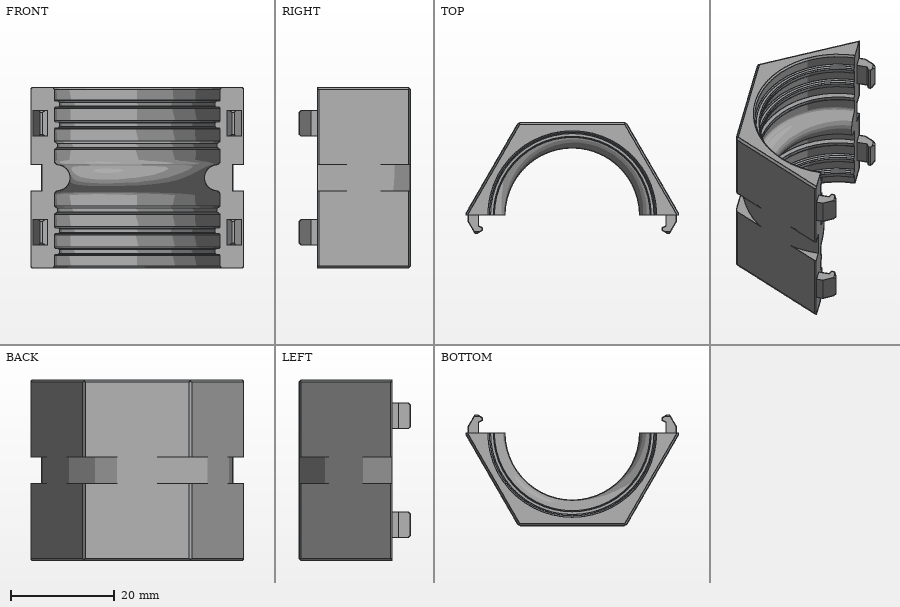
import cadquery as cq
import math

width = 41.15
height = 35.0
sides = 6
apothem = 18.0
end_chamfer = 0.4

bore_radius = 16.05
mouth_chamfer_radial = 0.3
mouth_chamfer_axial = 0.4

bead_inner_radius = 13.0
bead_radius = 2.5
bead_blend = 0.85

rib_pitch = 4.0
low_rib_z = 6.25
rib_base_half = 0.82
rib_flank_half = 0.58
rib_tip_half = 0.35
low_rib_depth = 0.58
tall_rib_depth = 1.0
tall_rib_count = 2

groove_width = 5.05
groove_radius = 18.5
groove_edge_chamfer = 0.35

hook_height = 5.0
hook_z = 10.55
hook_outer_x = 20.15
hook_shank_x = 18.1
hook_barb_x = 17.37
hook_tip_outer_x = 18.8
hook_tip_inner_x = 18.35
hook_length = 3.5
hook_shank_length = 1.25
barb_root_y = -2.05
barb_top_y = -2.43
barb_bottom_y = -2.9
hook_tip_chamfer = 0.35

half_height = height / 2
half_side_angle = math.pi / sides

upper_half = cq.Workplane("XY").box(2 * width, width, height, centered=(True, False, True))


def make_groove():
    """Ring that cuts the hexagon corners down to a cylinder at mid height."""
    groove = cq.Workplane("XY", origin=(0, 0, -groove_width / 2))
    groove = groove.circle(width).circle(groove_radius).extrude(groove_width)
    return groove.rotate((0, 0, 0), (0, 0, 1), 90)


def on_groove_wall(edge):
    """True for an edge lying on the cylindrical wall of the groove."""
    center = edge.Center()
    return math.isclose(math.hypot(center.x, center.y), groove_radius, abs_tol=0.005)


def make_body():
    """Hexagonal bar with bevelled ends, trimmed corners and the corner groove, cut in half."""
    corner_radius = apothem / math.cos(half_side_angle)
    base = cq.Workplane("XY", origin=(0, 0, -half_height))
    bar = base.polygon(sides, 2 * corner_radius).extrude(height).faces("|Z").chamfer(end_chamfer)
    trim = base.polygon(sides, width / math.cos(half_side_angle)).extrude(height)
    trim = trim.rotate((0, 0, 0), (0, 0, 1), math.degrees(half_side_angle))
    bar = bar.intersect(trim).cut(make_groove())
    bar = bar.edges("|Z").filter(on_groove_wall).chamfer(groove_edge_chamfer)
    return bar.intersect(upper_half)


def ring(profile):
    """Turn a closed (radius, z) profile around the Z axis."""
    return profile.close().revolve(360, (0, 0, 0), (0, 1, 0))


def make_bore():
    """Plain bore, widened by a chamfer at each mouth."""
    mouth_radius = bore_radius + mouth_chamfer_radial
    wall_end = half_height - mouth_chamfer_axial
    return ring(cq.Workplane("XZ").polyline([
        (0, -half_height), (mouth_radius, -half_height), (bore_radius, -wall_end),
        (bore_radius, wall_end), (mouth_radius, half_height), (0, half_height)]))


def make_bead():
    """Round bead blended into the bore wall by a tangent fillet on each side."""
    bead_center = bead_inner_radius + bead_radius
    blend_center = bore_radius - bead_blend
    reach = bead_radius + bead_blend
    blend_z = math.sqrt(reach ** 2 - (bead_center - blend_center) ** 2)
    joint_radius = bead_center + (blend_center - bead_center) * bead_radius / reach
    joint_z = blend_z * bead_radius / reach
    joint_angle = math.atan2(joint_z - blend_z, joint_radius - blend_center)
    mid_radius = blend_center + bead_blend * math.cos(joint_angle / 2)
    mid_z = blend_z + bead_blend * math.sin(joint_angle / 2)
    root_radius = (bore_radius + groove_radius) / 2
    profile = (
        cq.Workplane("XZ").moveTo(root_radius, -blend_z)
        .lineTo(bore_radius, -blend_z)
        .threePointArc((mid_radius, -mid_z), (joint_radius, -joint_z))
        .threePointArc((bead_inner_radius, 0), (joint_radius, joint_z))
        .threePointArc((mid_radius, mid_z), (bore_radius, blend_z))
        .lineTo(root_radius, blend_z))
    return ring(profile)


def make_rib(z, half_outline):
    """Rib ring at height z; half_outline lists (depth, half width) from wall to tip."""
    lower = [(bore_radius - depth, z - half) for depth, half in half_outline]
    upper = [(bore_radius - depth, z + half) for depth, half in reversed(half_outline)]
    return ring(cq.Workplane("XZ").polyline(lower + upper))


def make_ribs():
    """One low rib and the tall ribs beyond it, on each side of the bead."""
    base_bevel = rib_base_half - rib_flank_half
    tip_bevel = rib_flank_half - rib_tip_half
    low_outline = [(0, rib_base_half), (low_rib_depth, rib_tip_half)]
    tall_outline = [
        (0, rib_base_half), (base_bevel, rib_flank_half),
        (tall_rib_depth - tip_bevel, rib_flank_half), (tall_rib_depth, rib_tip_half)]
    ribs = []
    for side in (-1, 1):
        ribs.append(make_rib(side * low_rib_z, low_outline))
        for number in range(1, tall_rib_count + 1):
            ribs.append(make_rib(side * (low_rib_z + number * rib_pitch), tall_outline))
    return ribs


def make_hook():
    """Snap hook on the +X side, centred on Z = 0, with its barb toward the axis."""
    hook = cq.Workplane("XY").polyline([
        (hook_shank_x, 0), (hook_outer_x, 0), (hook_outer_x, -hook_shank_length),
        (hook_tip_outer_x, -hook_length), (hook_tip_inner_x, -hook_length),
        (hook_barb_x, barb_bottom_y), (hook_barb_x, barb_top_y),
        (hook_shank_x, barb_root_y)]).close().extrude(hook_height / 2, both=True)
    side = hook_height / 2
    bevelled = cq.Workplane("YZ").polyline([
        (0, -side), (0, side), (hook_tip_chamfer - hook_length, side),
        (-hook_length, side - hook_tip_chamfer), (-hook_length, hook_tip_chamfer - side),
        (hook_tip_chamfer - hook_length, -side)]).close().extrude(width)
    return hook.intersect(bevelled)


result = make_body().cut(make_bore())
for ridge in [make_bead()] + make_ribs():
    result = result.union(ridge.intersect(upper_half))

hook = make_hook()
for hook_side in (hook, hook.mirror("YZ")):
    for z in (-hook_z, hook_z):
        result = result.union(hook_side.translate((0, 0, z)))